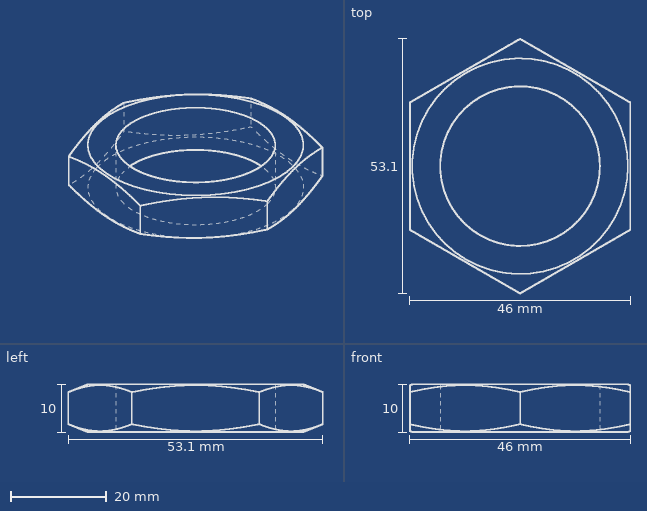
import cadquery as cq

across_corners = 53.1
thickness = 10.0
bore_diameter = 33.25
face_diameter = 45.0
chamfer_height = 1.65

corner_radius = across_corners / 2
face_radius = face_diameter / 2


def hexagon_blank():
    """Hexagonal prism with two flats facing +X and -X."""
    prism = cq.Workplane("XY").polygon(6, across_corners).extrude(thickness)
    return prism.rotate((0, 0, 0), (0, 0, 1), 30)


def chamfer_envelope():
    """Turned body whose conical ends trim the hexagon corners."""
    half_profile = [
        (0, 0),
        (face_radius, 0),
        (corner_radius, chamfer_height),
        (corner_radius, thickness - chamfer_height),
        (face_radius, thickness),
        (0, thickness),
    ]
    return cq.Workplane("XZ").polyline(half_profile).close().revolve(360, (0, 0, 0), (0, 1, 0))


def bore():
    """Plain through hole."""
    return cq.Workplane("XY").circle(bore_diameter / 2).extrude(thickness)


result = hexagon_blank().intersect(chamfer_envelope()).cut(bore())